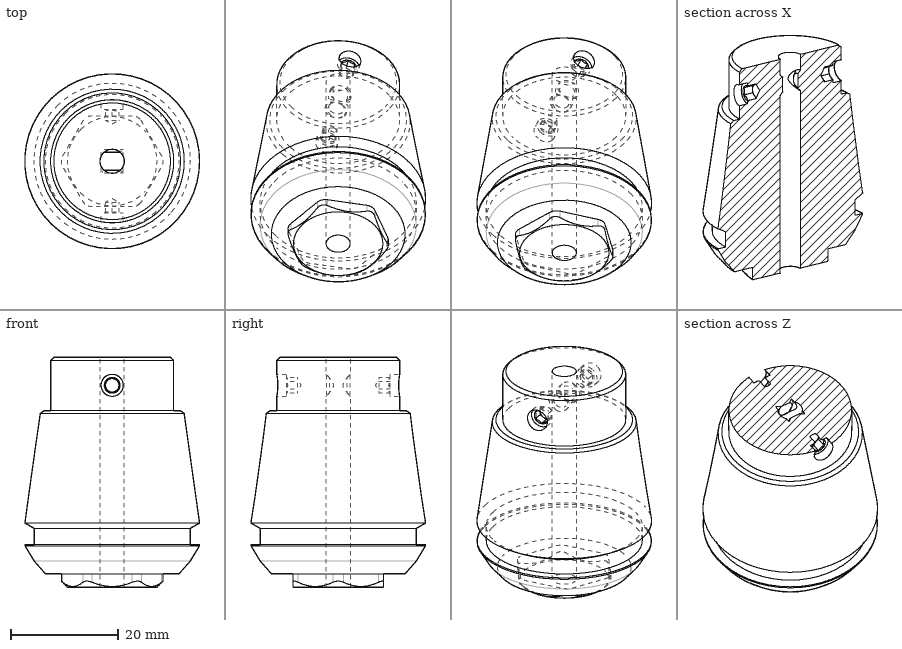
import cadquery as cq
import math

HEX_TOP = 2.5
COLLAR_BREAK = 4.9
COLLAR_RIM_BOTTOM = 7.7
COLLAR_TOP = 8.0
GROOVE_TOP = 11.0
TAPER_BOTTOM = 12.0
TAPER_TOP = 33.0
TOTAL_HEIGHT = 43.0

MAX_DIAMETER = 32.71
COLLAR_RIM_DIAMETER = 32.6
GROOVE_DIAMETER = 29.2
COLLAR_BASE_DIAMETER = 25.0
SHANK_DIAMETER = 23.0
BORE_DIAMETER = 4.5

TAPER_ANGLE = 8.0
TAPER_CHAMFER_WIDTH = 0.7
TAPER_CHAMFER_HEIGHT = 0.5
SHANK_CHAMFER = 0.6

HEX_ACROSS_FLATS = 17.0
HEX_CORNER_RADIUS = 2.0
HEX_FACE_DIAMETER = 16.7

SCREW_DIAMETER = 4.13
SCREW_HEIGHT = 37.75
SCREW_TIP_OFFSET = 1.66
SCREW_LENGTH = 8.0
SCREW_TIP_CHAMFER = 0.58
SOCKET_ACROSS_FLATS = 2.5
SOCKET_MOUTH_DIAMETER = 2.95
SOCKET_DEPTH = 2.0
SOCKET_CONE_HEIGHT = 0.7


def turned_body():
    """Collar, groove, tapered body and shank as one revolved profile."""
    taper_bottom_radius = MAX_DIAMETER / 2
    chamfer_bottom = TAPER_TOP - TAPER_CHAMFER_HEIGHT
    taper_rise = chamfer_bottom - TAPER_BOTTOM
    taper_top_radius = taper_bottom_radius - taper_rise * math.tan(math.radians(TAPER_ANGLE))
    groove_radius = GROOVE_DIAMETER / 2
    rim_radius = COLLAR_RIM_DIAMETER / 2
    shank_radius = SHANK_DIAMETER / 2
    profile = [
        (0, HEX_TOP),
        (COLLAR_BASE_DIAMETER / 2, HEX_TOP),
        (groove_radius, COLLAR_BREAK),
        (rim_radius, COLLAR_RIM_BOTTOM),
        (rim_radius, COLLAR_TOP),
        (groove_radius, COLLAR_TOP),
        (groove_radius, GROOVE_TOP),
        (taper_bottom_radius, TAPER_BOTTOM),
        (taper_top_radius, chamfer_bottom),
        (taper_top_radius - TAPER_CHAMFER_WIDTH, TAPER_TOP),
        (shank_radius, TAPER_TOP),
        (shank_radius, TOTAL_HEIGHT - SHANK_CHAMFER),
        (shank_radius - SHANK_CHAMFER, TOTAL_HEIGHT),
        (0, TOTAL_HEIGHT),
    ]
    return cq.Workplane("XZ").polyline(profile).close().revolve(360, (0, 0), (0, 1))


def hexagon_corner_diameter(across_flats):
    """Distance across the sharp corners of a hexagon."""
    return across_flats / math.cos(math.pi / 6)


def wrench_hexagon():
    """Hexagon with rounded corners and a 45 degree chamfered lower face."""
    face_radius = HEX_FACE_DIAMETER / 2
    envelope_profile = [
        (0, 0),
        (face_radius, 0),
        (face_radius + HEX_TOP, HEX_TOP),
        (0, HEX_TOP),
    ]
    envelope = cq.Workplane("XZ").polyline(envelope_profile).close().revolve(360, (0, 0), (0, 1))
    hexagon = (
        cq.Workplane("XY")
        .polygon(6, hexagon_corner_diameter(HEX_ACROSS_FLATS))
        .extrude(HEX_TOP)
        .edges("|Z")
        .fillet(HEX_CORNER_RADIUS)
    )
    return hexagon.intersect(envelope)


def screw_hole():
    """Cross hole through the shank for both set screws."""
    return (
        cq.Workplane("XZ")
        .center(0, SCREW_HEIGHT)
        .circle(SCREW_DIAMETER / 2)
        .extrude(SHANK_DIAMETER / 2, both=True)
    )


def set_screw():
    """Set screw on the -Y side, its tip reaching into the bore."""
    head_y = -SCREW_TIP_OFFSET - SCREW_LENGTH
    screw = (
        cq.Workplane("XZ", origin=(0, -SCREW_TIP_OFFSET, SCREW_HEIGHT))
        .circle(SCREW_DIAMETER / 2)
        .extrude(SCREW_LENGTH)
        .faces(">Y")
        .chamfer(SCREW_TIP_CHAMFER)
    )
    socket = (
        cq.Workplane("XZ", origin=(0, head_y, SCREW_HEIGHT))
        .transformed(rotate=(0, 0, 90))
        .polygon(6, hexagon_corner_diameter(SOCKET_ACROSS_FLATS))
        .extrude(-SOCKET_DEPTH)
    )
    mouth_radius = SOCKET_MOUTH_DIAMETER / 2
    drill_radius = SOCKET_ACROSS_FLATS / 2
    socket_end_y = head_y + SOCKET_DEPTH
    mouth_depth = mouth_radius - drill_radius
    drilled_profile = [
        (0, head_y),
        (mouth_radius, head_y),
        (drill_radius, head_y + mouth_depth),
        (drill_radius, socket_end_y),
        (0, socket_end_y + SOCKET_CONE_HEIGHT),
    ]
    drilled = (
        cq.Workplane("XY", origin=(0, 0, SCREW_HEIGHT))
        .polyline(drilled_profile)
        .close()
        .revolve(360, (0, 0), (0, 1))
    )
    return screw.cut(socket).cut(drilled)


bore = cq.Workplane("XY").circle(BORE_DIAMETER / 2).extrude(TOTAL_HEIGHT)
result = turned_body().union(wrench_hexagon()).cut(bore).cut(screw_hole())
near_screw = set_screw()
for screw_turn in (0, 180):
    result = result.union(near_screw.rotate((0, 0, 0), (0, 0, 1), screw_turn))